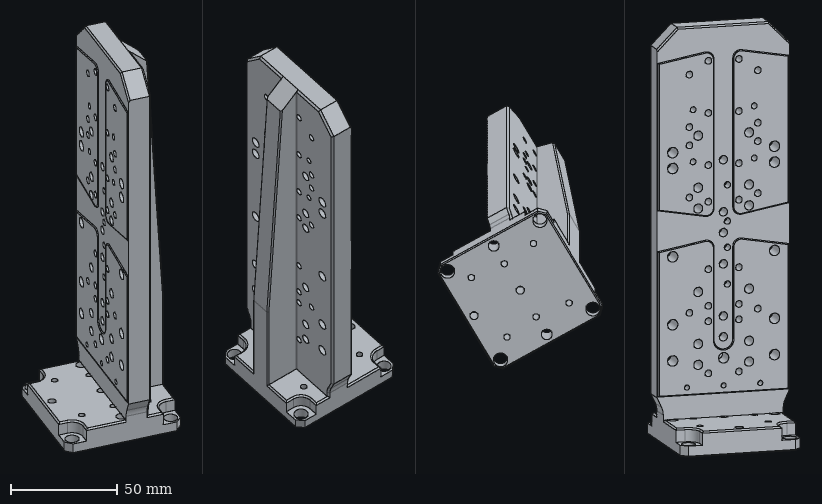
import cadquery as cq
import math

HOLE_PITCH = 25.0

BASE_SIDE = 59.0
BASE_HEIGHT = 12.0
BASE_CORNER_CHAMFER = 3.2
BASE_EDGE_CHAMFER = 0.8
BASE_BOTTOM_CHAMFER = 0.5
BASE_HALF = BASE_SIDE / 2

MOUNT_OFFSET = HOLE_PITCH
MOUNT_HOLE_DIAMETER = 6.5
SEAT_DIAMETER = 11.0
SEAT_FLOOR = 5.5
BASE_SMALL_HOLE_OFFSET = 16.8
BASE_SMALL_HOLE_DIAMETER = 3.0
BASE_PIN_DIAMETER = 3.8
BASE_FOOT_HOLE_DIAMETER = 5.0
BASE_FOOT_SMALL_OFFSET = 0.6 * HOLE_PITCH

PART_HEIGHT = 200.0
PLATE_WIDTH = 65.0
PLATE_FRONT = 0.5
PLATE_BACK = 12.2
PLATE_TOP_CORNER = 10.0
PLATE_BACK_CHAMFER = 1.0
PLATE_TOP_FRONT_CHAMFER = 0.8
PLATE_HALF = PLATE_WIDTH / 2

NECK_TOP = 22.8
NECK_ANGLE = math.radians(25)
NECK_RADIUS = 8.8

RIB_WIDTH = 11.2
RIB_EDGE_CHAMFER = 0.7
RIB_TAPER_START = 61.0
RIB_SHOULDER_Y = 21.5
RIB_SHOULDER_Z = 191.5
RIB_ROOT_FILLET = 0.5

PAD_HEIGHT = 0.5
PAD_BEVEL = 0.48
PAD_EDGE_INSET = 0.5
PAD_HALF_WIDTH = PLATE_HALF - PAD_EDGE_INSET
PAD_SLOPE_ANGLE = math.radians(10)
PAD_CORNER_RADIUS = 3.8
SLOT_HALF_WIDTH = 4.5
PAD_RISE = math.tan(PAD_SLOPE_ANGLE) * (PAD_HALF_WIDTH - SLOT_HALF_WIDTH)
UPPER_PAD_TOP = 183.5
UPPER_PAD_BOTTOM = 112.5
LOWER_PAD_TOP = 93.0
LOWER_PAD_BOTTOM = 23.2
SLOT_END_CENTER = 49.0

THROUGH_HOLES = [
    (3.2, 0.3 * HOLE_PITCH, [33.2, 58.2, 65.5, 83.2, 115.5, 133.2, 158.2, 183.2]),
    (3.2, BASE_SMALL_HOLE_OFFSET, [62.8, 118.2, 143.2, 152.0, 177.2]),
    (2.8, 0.6 * HOLE_PITCH, [135.2, 160.2]),
    (4.5, 0.5 * HOLE_PITCH, [37.5, 47.5, 72.5, 112.5, 122.5, 147.5]),
    (5.0, HOLE_PITCH, [40.2, 57.5, 90.2, 132.5, 140.2]),
]
BLIND_HOLES = [
    (4.0, 10.0, [0], [50.2, 60.2, 85.2, 100.2, 110.2, 135.2]),
    (5.0, 10.0, [0], [40.2]),
    (3.0, 7.0, [2.0], [75.5, 93.0, 105.5, 123.0]),
    (2.5, 6.0, [-18.0, 0, 18.0], [27.0]),
]
DRILL_HALF_ANGLE = math.radians(59)

BOX_MARGIN = 0.2


def square_places(offset):
    """Four points at the corners of a square centred on the origin."""
    return [(x, y) for x in (-offset, offset) for y in (-offset, offset)]


MOUNT_PLACES = square_places(MOUNT_OFFSET)


def front_plane(y):
    """Sketch plane facing forward at depth y: local x is X, local y is Z."""
    return cq.Workplane("XZ", origin=(0, y, 0))


def make_seat(sx, sy):
    """Cutter for one corner seat: round on the inside, open to both outer sides."""
    radius = SEAT_DIAMETER / 2
    arc_mid = radius * math.sqrt(0.5)
    return (
        cq.Workplane("XY", origin=(sx * MOUNT_OFFSET, sy * MOUNT_OFFSET, SEAT_FLOOR))
        .moveTo(-sx * radius, 0)
        .threePointArc((-sx * arc_mid, -sy * arc_mid), (0, -sy * radius))
        .lineTo(sx * SEAT_DIAMETER, -sy * radius)
        .lineTo(sx * SEAT_DIAMETER, sy * SEAT_DIAMETER)
        .lineTo(-sx * radius, sy * SEAT_DIAMETER)
        .close()
        .extrude(BASE_HEIGHT - SEAT_FLOOR)
    )


def make_base():
    base = (
        cq.Workplane("XY")
        .rect(BASE_SIDE, BASE_SIDE)
        .extrude(BASE_HEIGHT)
        .edges("|Z")
        .chamfer(BASE_CORNER_CHAMFER)
    )
    for x, y in MOUNT_PLACES:
        base = base.cut(make_seat(math.copysign(1, x), math.copysign(1, y)))
    base = base.faces(">Z").chamfer(BASE_EDGE_CHAMFER)
    return base.faces("<Z").chamfer(BASE_BOTTOM_CHAMFER)


def make_plate():
    arc_drop = NECK_RADIUS * math.sin(NECK_ANGLE)
    arc_shift = NECK_RADIUS * (1 - math.cos(NECK_ANGLE))
    arc_x = BASE_HALF + arc_shift
    arc_z = NECK_TOP - (PLATE_HALF - arc_x) / math.tan(NECK_ANGLE)
    neck_bottom = arc_z - arc_drop
    plate = (
        front_plane(PLATE_BACK)
        .moveTo(-BASE_HALF, BASE_EDGE_CHAMFER)
        .lineTo(-BASE_HALF, neck_bottom)
        .radiusArc((-arc_x, arc_z), -NECK_RADIUS)
        .lineTo(-PLATE_HALF, NECK_TOP)
        .lineTo(-PLATE_HALF, PART_HEIGHT - PLATE_TOP_CORNER)
        .lineTo(-PLATE_HALF + PLATE_TOP_CORNER, PART_HEIGHT)
        .lineTo(PLATE_HALF - PLATE_TOP_CORNER, PART_HEIGHT)
        .lineTo(PLATE_HALF, PART_HEIGHT - PLATE_TOP_CORNER)
        .lineTo(PLATE_HALF, NECK_TOP)
        .lineTo(arc_x, arc_z)
        .radiusArc((BASE_HALF, neck_bottom), -NECK_RADIUS)
        .lineTo(BASE_HALF, BASE_EDGE_CHAMFER)
        .close()
        .extrude(PLATE_BACK - PLATE_FRONT)
    )
    back_sides = cq.selectors.BoxSelector(
        (-PLATE_WIDTH, PLATE_BACK - BOX_MARGIN, BASE_HEIGHT / 2),
        (PLATE_WIDTH, PLATE_BACK + BOX_MARGIN, PART_HEIGHT + BOX_MARGIN),
    )
    top_front = cq.selectors.BoxSelector(
        (-PLATE_WIDTH, PLATE_FRONT - BOX_MARGIN, PART_HEIGHT - PLATE_TOP_CORNER),
        (PLATE_WIDTH, PLATE_FRONT + BOX_MARGIN, PART_HEIGHT + BOX_MARGIN),
    )
    plate = plate.edges(back_sides).chamfer(PLATE_BACK_CHAMFER)
    return plate.edges(top_front).chamfer(PLATE_TOP_FRONT_CHAMFER)


def make_rib():
    root_y = PLATE_BACK - PLATE_BACK_CHAMFER
    rib = (
        cq.Workplane("YZ")
        .moveTo(root_y, BASE_EDGE_CHAMFER)
        .lineTo(BASE_HALF, BASE_EDGE_CHAMFER)
        .lineTo(BASE_HALF, RIB_TAPER_START)
        .lineTo(RIB_SHOULDER_Y, RIB_SHOULDER_Z)
        .lineTo(root_y, PART_HEIGHT)
        .close()
        .extrude(RIB_WIDTH / 2, both=True)
    )
    outer_edges = cq.selectors.BoxSelector(
        (-RIB_WIDTH, RIB_SHOULDER_Y, BASE_HEIGHT),
        (RIB_WIDTH, BASE_SIDE, RIB_SHOULDER_Z - BOX_MARGIN),
    )
    return rib.edges("not(|X)").edges(outer_edges).chamfer(RIB_EDGE_CHAMFER)


def make_upper_pad(side):
    corners = [
        (side * PAD_HALF_WIDTH, UPPER_PAD_BOTTOM),
        (side * PAD_HALF_WIDTH, UPPER_PAD_TOP),
        (side * SLOT_HALF_WIDTH, UPPER_PAD_TOP + PAD_RISE),
        (side * SLOT_HALF_WIDTH, UPPER_PAD_BOTTOM - PAD_RISE),
    ]
    pad = front_plane(PLATE_FRONT).polyline(corners).close().extrude(PAD_HEIGHT)
    inner = "<X" if side > 0 else ">X"
    pad = pad.faces(inner).edges("|Y").fillet(PAD_CORNER_RADIUS)
    return pad.faces("<Y").chamfer(PAD_BEVEL)


def make_lower_pad():
    pad = (
        front_plane(PLATE_FRONT)
        .moveTo(-PAD_HALF_WIDTH, LOWER_PAD_BOTTOM)
        .lineTo(-PAD_HALF_WIDTH, LOWER_PAD_TOP)
        .lineTo(-SLOT_HALF_WIDTH, LOWER_PAD_TOP + PAD_RISE)
        .lineTo(-SLOT_HALF_WIDTH, SLOT_END_CENTER)
        .threePointArc((0, SLOT_END_CENTER - SLOT_HALF_WIDTH), (SLOT_HALF_WIDTH, SLOT_END_CENTER))
        .lineTo(SLOT_HALF_WIDTH, LOWER_PAD_TOP + PAD_RISE)
        .lineTo(PAD_HALF_WIDTH, LOWER_PAD_TOP)
        .lineTo(PAD_HALF_WIDTH, LOWER_PAD_BOTTOM)
        .close()
        .extrude(PAD_HEIGHT)
    )
    pad = pad.edges("|Y and >Z").fillet(PAD_CORNER_RADIUS)
    return pad.faces("<Y").chamfer(PAD_BEVEL)


def through_holes():
    cutters = cq.Workplane("XY")
    for diameter, offset, heights in THROUGH_HOLES:
        places = [(side * offset, z) for side in (-1, 1) for z in heights]
        cutters = cutters.add(
            front_plane(PLATE_BACK).pushPoints(places).circle(diameter / 2).extrude(PLATE_BACK)
        )
    return cutters


def blind_drill(diameter, depth, x, z):
    """Drilled hole from the front with a conical tip."""
    radius = diameter / 2
    tip = depth + radius / math.tan(DRILL_HALF_ANGLE)
    return (
        cq.Workplane("XY")
        .polyline([(0, 0), (radius, 0), (radius, depth), (0, tip)])
        .close()
        .revolve(360, (0, 0), (0, 1))
        .translate((x, 0, z))
    )


def base_holes():
    smalls = square_places(BASE_SMALL_HOLE_OFFSET)
    smalls += [(-BASE_FOOT_SMALL_OFFSET, 0), (BASE_FOOT_SMALL_OFFSET, 0)]
    groups = [
        (MOUNT_HOLE_DIAMETER, MOUNT_PLACES),
        (BASE_SMALL_HOLE_DIAMETER, smalls),
        (BASE_PIN_DIAMETER, [(0, 0), (0, -MOUNT_OFFSET)]),
        (BASE_FOOT_HOLE_DIAMETER, [(-MOUNT_OFFSET, 0), (MOUNT_OFFSET, 0)]),
    ]
    cutters = cq.Workplane("XY")
    for diameter, places in groups:
        cutters = cutters.add(
            cq.Workplane("XY").pushPoints(places).circle(diameter / 2).extrude(BASE_HEIGHT)
        )
    return cutters


def root_fillet_edges(body):
    """Vertical edges where the rib meets the back of the plate."""
    half = RIB_WIDTH / 2
    low = (-half - BOX_MARGIN, PLATE_BACK - BOX_MARGIN, BASE_HEIGHT)
    high = (half + BOX_MARGIN, PLATE_BACK + BOX_MARGIN, PART_HEIGHT)
    return body.edges("|Z").edges(cq.selectors.BoxSelector(low, high))


result = make_base().union(make_plate()).union(make_rib())
result = root_fillet_edges(result).fillet(RIB_ROOT_FILLET)
for pad in (make_upper_pad(-1), make_upper_pad(1), make_lower_pad()):
    result = result.union(pad)
for cutter in through_holes().vals() + base_holes().vals():
    result = result.cut(cq.Workplane(cutter))
for diameter, depth, places, heights in BLIND_HOLES:
    for x in places:
        for z in heights:
            result = result.cut(blind_drill(diameter, depth, x, z))